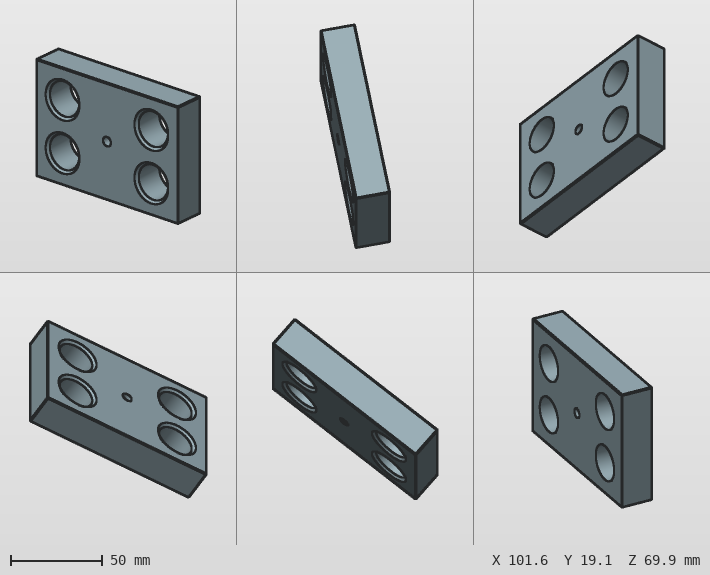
import cadquery as cq

length = 101.6
thickness = 19.1
height = 69.9
edge_chamfer = 0.5

hole_spacing_x = 63.5
hole_spacing_z = hole_spacing_x / 2
hole_diameter = 20.8
countersink_diameter = 24.2
countersink_angle = 90.0

center_hole_diameter = 5.6


def chamfered_plate():
    """Plate centred on the origin with every outer edge broken."""
    plate = cq.Workplane("XY").box(length, thickness, height)
    return plate.edges().chamfer(edge_chamfer)


def drill_large_holes(plate):
    """Rectangular pattern of countersunk through holes."""
    return (
        plate.faces("<Y").workplane(centerOption="CenterOfBoundBox")
        .rarray(hole_spacing_x, hole_spacing_z, 2, 2)
        .cskHole(hole_diameter, countersink_diameter, countersink_angle)
    )


def drill_center_hole(plate):
    """Plain through hole in the middle of the front face."""
    return (
        plate.faces("<Y").workplane(centerOption="CenterOfBoundBox")
        .hole(center_hole_diameter)
    )


result = drill_center_hole(drill_large_holes(chamfered_plate()))